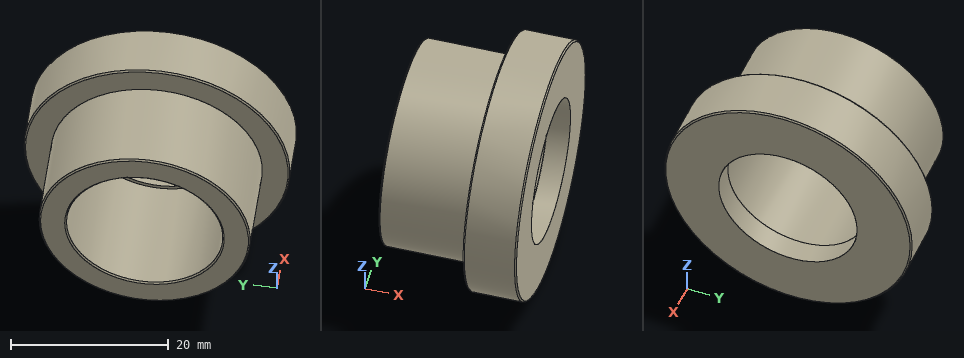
import cadquery as cq

length = 19.0
flange_diameter = 34.0
flange_thickness = 7.0
sleeve_diameter = 27.0
socket_diameter = 20.0
socket_depth = 16.0
passage_diameter = 19.0
edge_break = 0.2

sleeve_length = length - flange_thickness


def cylinder(diameter, start, depth):
    """Cylinder along X, running from x = start to x = start + depth."""
    return cq.Workplane("YZ").workplane(offset=start).circle(diameter / 2).extrude(depth)


sleeve = cylinder(sleeve_diameter, 0, length).faces("<X").edges().chamfer(edge_break)
flange = cylinder(flange_diameter, sleeve_length, flange_thickness).edges().chamfer(edge_break)
body = sleeve.union(flange)

socket = cylinder(socket_diameter, 0, socket_depth)
passage = cylinder(passage_diameter, 0, length)
bored_body = body.cut(socket).cut(passage)

socket_mouth = bored_body.faces("<X").edges(cq.selectors.RadiusNthSelector(0))
result = socket_mouth.chamfer(edge_break)